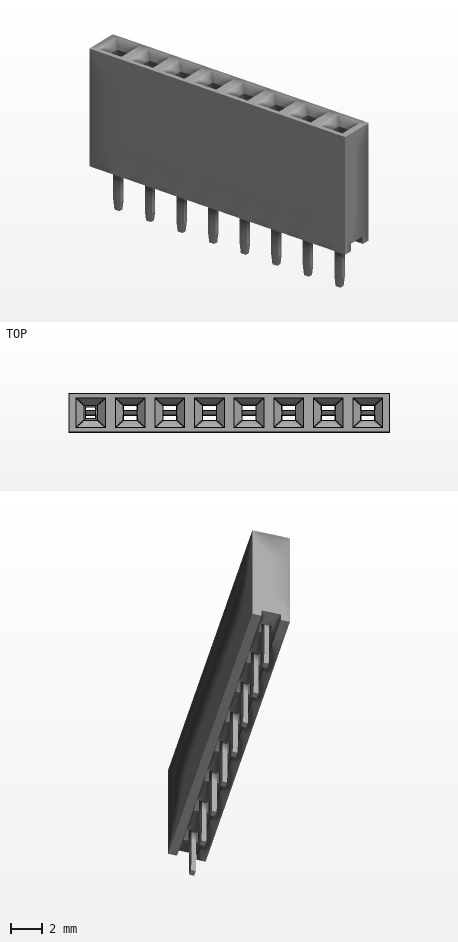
import cadquery as cq

pin_count = 8
pitch = 2.54
housing_length = 20.57
housing_width = 2.5
housing_height = 8.5

channel_width = 1.3
channel_depth = 0.55

funnel_mouth = 1.9
funnel_depth = 0.5
hole_length = 0.88
hole_width = 0.96

throat_depth = 0.4
ledge_width = 0.12
first_hole_length = hole_length - 2 * ledge_width
first_hole_width = hole_width - 2 * ledge_width

pin_width = 0.6
pin_thickness = 0.32
pin_reach = 3.2
tip_width = 0.4
tip_length = 0.7
shoulder_height = 1.0

first_pin_x = -(pin_count - 1) * pitch / 2
pin_positions = [first_pin_x + i * pitch for i in range(pin_count)]

funnel_bottom = housing_height - funnel_depth
throat_bottom = funnel_bottom - throat_depth


def make_housing():
    """Plain block with the channel running its full length."""
    block = cq.Workplane("XY").box(
        housing_length, housing_width, housing_height, centered=(True, True, False)
    )
    channel = cq.Workplane("XY").box(
        housing_length, channel_width, channel_depth, centered=(True, True, False)
    )
    return block.cut(channel)


def make_funnel(x):
    """Tapered lead-in from the top face down to the hole."""
    return (
        cq.Workplane("XY", origin=(x, 0, funnel_bottom))
        .rect(hole_length, hole_width)
        .workplane(offset=funnel_depth)
        .rect(funnel_mouth, funnel_mouth)
        .loft(ruled=True)
    )


def make_hole(x, length, width, bottom, top):
    """Rectangular hole between two heights."""
    return cq.Workplane("XY", origin=(x, 0, bottom)).rect(length, width).extrude(top - bottom)


def make_pin(x):
    """Flat pin whose wide shoulder spans the hole just above the channel."""
    shoulder_top = channel_depth + shoulder_height
    taper_start = tip_length - pin_reach
    outline = [
        (tip_width / 2, -pin_reach),
        (pin_width / 2, taper_start),
        (pin_width / 2, channel_depth),
        (hole_length / 2, channel_depth),
        (hole_length / 2, shoulder_top),
    ]
    mirrored = [(-px, pz) for px, pz in reversed(outline)]
    return (
        cq.Workplane("XZ", origin=(x, 0, 0))
        .polyline(outline + mirrored)
        .close()
        .extrude(pin_thickness / 2, both=True)
    )


result = make_housing()

for index, x in enumerate(pin_positions):
    result = result.cut(make_funnel(x))
    if index == 0:
        result = result.cut(make_hole(x, hole_length, hole_width, throat_bottom, funnel_bottom))
        result = result.cut(make_hole(x, first_hole_length, first_hole_width, 0, throat_bottom))
    else:
        result = result.cut(make_hole(x, hole_length, hole_width, 0, funnel_bottom))

for x in pin_positions:
    result = result.union(make_pin(x))